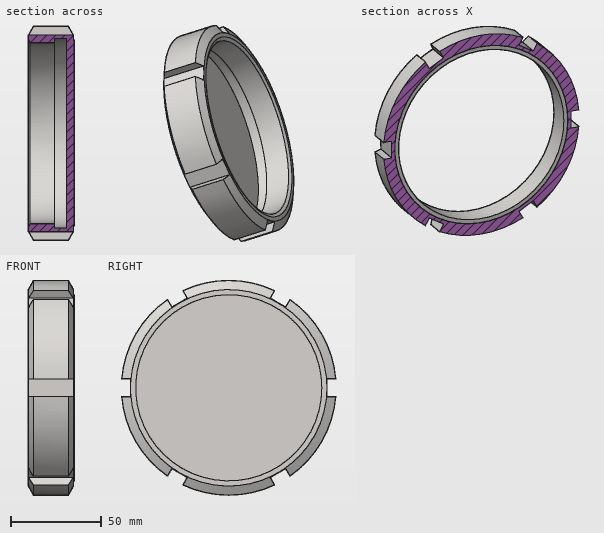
import cadquery as cq

outer_radius = 59.5
total_length = 25.5
end_disc_height = 0.4
end_disc_radius = 51.5
nut_length = total_length - end_disc_height

edge_chamfer_length = 2.9
edge_chamfer_depth = 5.1
face_radius = outer_radius - edge_chamfer_depth

bore_radius = 100.2 / 2
mouth_radius = 52.0
mouth_chamfer_length = 1.1
bore_depth = 21.1

groove_radius = 104.8 / 2
groove_start = 14.6

notch_count = 6
notch_width = 9.8
notch_floor_radius = 54.5


def revolved_body():
    """Revolve the half section (X along the axis, Y outward) about X."""
    return (
        cq.Workplane("XY")
        .moveTo(bore_depth, 0)
        .lineTo(bore_depth, groove_radius)
        .lineTo(groove_start, groove_radius)
        .lineTo(groove_start, bore_radius)
        .lineTo(mouth_chamfer_length, bore_radius)
        .lineTo(0, mouth_radius)
        .lineTo(0, face_radius)
        .lineTo(edge_chamfer_length, outer_radius)
        .lineTo(nut_length - edge_chamfer_length, outer_radius)
        .lineTo(nut_length, face_radius)
        .lineTo(nut_length, end_disc_radius)
        .lineTo(total_length, end_disc_radius)
        .lineTo(total_length, 0)
        .close()
        .revolve(360, (0, 0, 0), (1, 0, 0))
    )


def spanner_notch(angle):
    """Flat-bottomed cutter along the full length, turned about X from +Y."""
    return (
        cq.Workplane("XY")
        .box(total_length, outer_radius, notch_width, centered=(False, False, True))
        .translate((0, notch_floor_radius, 0))
        .rotate((0, 0, 0), (1, 0, 0), angle)
    )


result = revolved_body()
for index in range(notch_count):
    result = result.cut(spanner_notch(index * 360 / notch_count))

result = result.translate((-total_length / 2, 0, 0))